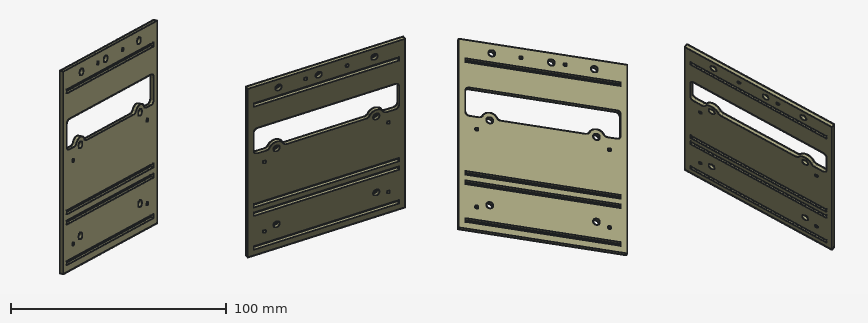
import cadquery as cq
import math

thickness = 2.0
width = 82.0
height = 100.0

slot_length = 75.7
slot_height = 1.9
slot_centers_z = [4.5, 24.5, 29.5, 89.2]

window_bottom = 60.0
window_height = 15.0
window_corner_radius = 2.0

ear_radius = 4.0
ear_blend_radius = 2.0

large_diameter = 3.3
small_diameter = 1.6
mount_y = 26.0
mount_upper_z = 59.3
mount_lower_z = 14.3
pin_y = 32.3
pin_upper_z = 53.5
pin_lower_z = 12.3
top_row_z = 95.0
top_large_y = [-25.0, -4.0, 25.0]
top_small_y = [-10.8, 10.8]

large_holes = [(y, z) for y in (-mount_y, mount_y) for z in (mount_lower_z, mount_upper_z)]
large_holes += [(y, top_row_z) for y in top_large_y]
small_holes = [(y, z) for y in (-pin_y, pin_y) for z in (pin_lower_z, pin_upper_z)]
small_holes += [(y, top_row_z) for y in top_small_y]


def face_sketch():
    """Sketch plane on the X = 0 face: local axes are Y and Z, extruding along +X."""
    return cq.Workplane("YZ")


def make_plate():
    return face_sketch().rect(width, height).extrude(thickness).translate((0, 0, height / 2))


def make_slots():
    centers = [(0, z) for z in slot_centers_z]
    return face_sketch().pushPoints(centers).rect(slot_length, slot_height).extrude(thickness)


def make_window():
    window = (
        face_sketch()
        .center(0, window_bottom + window_height / 2)
        .rect(slot_length, window_height)
        .extrude(thickness)
        .edges("|X")
        .fillet(window_corner_radius)
    )
    for ear_y in (-mount_y, mount_y):
        window = window.cut(make_ear(ear_y))
    return window


def make_ear(ear_y):
    """Ear outline: a top arc blended into the window's lower edge by a concave arc on each side."""
    blend_z = window_bottom + ear_blend_radius
    rise = blend_z - mount_upper_z
    blend_offset = math.sqrt((ear_radius + ear_blend_radius) ** 2 - rise**2)
    joint_share = ear_radius / (ear_radius + ear_blend_radius)
    joint_offset = blend_offset * joint_share
    joint_z = mount_upper_z + rise * joint_share

    blend_angle = math.atan2(blend_offset, rise) / 2
    middle_offset = blend_offset - ear_blend_radius * math.sin(blend_angle)
    middle_z = blend_z - ear_blend_radius * math.cos(blend_angle)

    return (
        face_sketch()
        .moveTo(ear_y - blend_offset, window_bottom)
        .threePointArc((ear_y - middle_offset, middle_z), (ear_y - joint_offset, joint_z))
        .threePointArc((ear_y, mount_upper_z + ear_radius), (ear_y + joint_offset, joint_z))
        .threePointArc((ear_y + middle_offset, middle_z), (ear_y + blend_offset, window_bottom))
        .close()
        .extrude(thickness)
    )


def make_holes(centers, diameter):
    return face_sketch().pushPoints(centers).circle(diameter / 2).extrude(thickness)


result = (
    make_plate()
    .cut(make_slots())
    .cut(make_window())
    .cut(make_holes(large_holes, large_diameter))
    .cut(make_holes(small_holes, small_diameter))
)